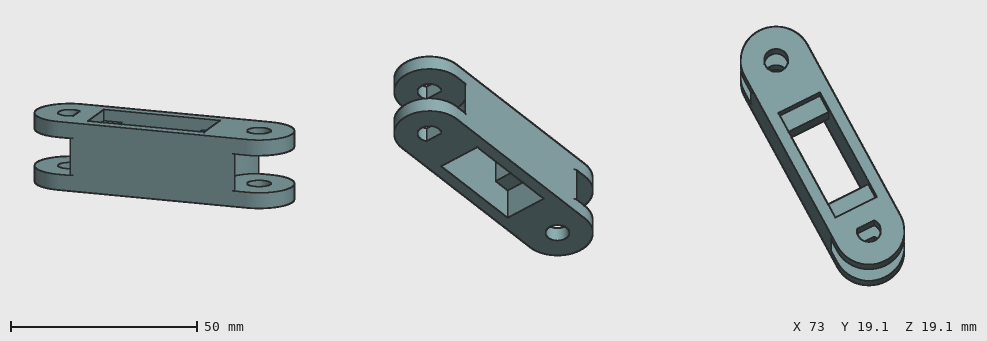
import cadquery as cq

length = 73.0
width = 19.05
height = 19.05
end_radius = width / 2
pivot_x = length / 2 - end_radius

slot_height = 10.3
slot_radius = 10.15

hole_radius = 3.2
flat_offset = 1.9

pocket_start_x = -19.6
pocket_length = 33.15
pocket_width = 12.55
ledge_length = 5.1
ledge_depth = 3.15


def make_pivot_cylinder(x, radius, cylinder_height):
    return cq.Workplane("XY").center(x, 0).circle(radius).extrude(cylinder_height / 2, both=True)


def make_body():
    body = cq.Workplane("XY").box(2 * pivot_x, width, height)
    for end_x in (-pivot_x, pivot_x):
        body = body.union(make_pivot_cylinder(end_x, end_radius, height))
    return body


def make_d_hole():
    hole = make_pivot_cylinder(-pivot_x, hole_radius, height)
    keep_length = hole_radius + flat_offset
    keep_center_x = -pivot_x + flat_offset - keep_length / 2
    keep = cq.Workplane("XY").box(keep_length, 2 * hole_radius, height)
    return hole.intersect(keep.translate((keep_center_x, 0, 0)))


def make_pocket():
    """Return the pocket volume, whose profile in XZ runs through the full width of the pocket."""
    pocket_end_x = pocket_start_x + pocket_length
    ledge_z = height / 2 - ledge_depth
    opening_start_x = pocket_start_x + ledge_length
    opening_end_x = pocket_end_x - ledge_length
    return (
        cq.Workplane("XZ")
        .moveTo(pocket_start_x, height / 2)
        .lineTo(pocket_end_x, height / 2)
        .lineTo(pocket_end_x, ledge_z)
        .lineTo(opening_end_x, ledge_z)
        .lineTo(opening_end_x, 0)
        .lineTo(pocket_end_x, 0)
        .lineTo(pocket_end_x, -height / 2)
        .lineTo(opening_start_x, -height / 2)
        .lineTo(opening_start_x, ledge_z)
        .lineTo(pocket_start_x, ledge_z)
        .close()
        .extrude(pocket_width / 2, both=True)
    )


result = make_body()
for end_x in (-pivot_x, pivot_x):
    result = result.cut(make_pivot_cylinder(end_x, slot_radius, slot_height))
result = result.cut(make_d_hole())
result = result.cut(make_pivot_cylinder(pivot_x, hole_radius, height))
result = result.cut(make_pocket())